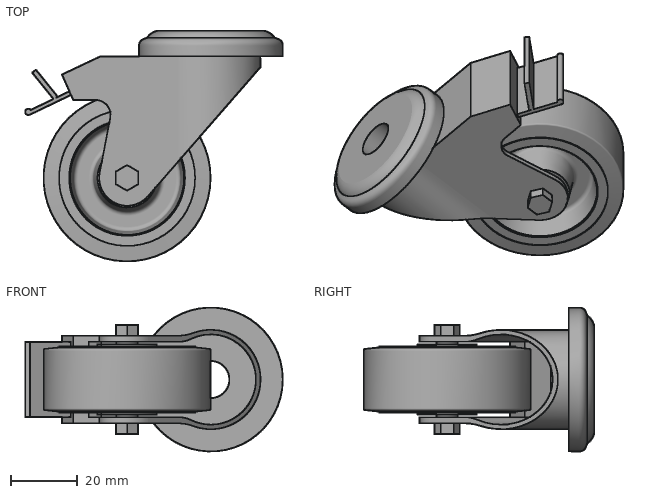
import cadquery as cq
import math


swivel_x = 25.0
head_radius = 21.52
head_base_y = 36.3
head_height = 7.74
head_rim_height = 3.3
head_shoulder_radius = 20.3
head_shoulder_height = 5.15
head_crown_radius = 19.1
head_crown_height = 5.6
head_top_radius = 15.85
head_crown_bulge = 0.4
bore_diameter = 11.0

fork_outer_z = 13.1
fork_inner_z = 11.25
collar_outer_radius = 14.85
collar_inner_radius = 13.5
flare_start_x = 15.3
fork_top_thickness = 1.85
fork_hub_radius = 8.3
fork_top_left_x = -8.1
fork_nose = (-19.5, 30.9)
fork_heel = (-16.1, 23.25)
fork_neck_x = -4.0
fork_neck_fillet = 4.5
fork_right_edge_y = 33.1
end_wall_width = 4.7
fork_left_limit_x = -23.1

wheel_radius = 24.98
tread_half_width = 8.6
tread_edge_radius = 24.5
tread_edge_bulge = 0.15
tread_side_z = 9.2
rim_radius = 20.3
rim_tread_z = 9.6
rim_side_z = 9.9
recess_radius = 17.0
recess_floor_radius = 15.8
recess_edge_break = 0.3
web_half_thickness = 1.55
hub_half_width = 10.5
hub_end_radius = 8.85
hub_foot_radius = 10.25
floor_fillet = 1.3

axle_diameter = 6.5
bolt_across_flats = 6.6
bolt_end_z = 16.3

lever_root = (-16.3, 25.6)
lever_thickness = 1.2
lever_arm_end = (-29.25, 19.4)
lever_tip = (-29.5, 19.7)
lever_tip_radius = 0.96
flap_root = (-21.3, 23.9)
flap_end = (-27.8, 31.9)
flap_thickness = 1.5


def slab_z(outline, half_width):
    """Extrude an XY outline symmetrically about the Z = 0 plane."""
    return outline.extrude(2 * half_width).translate((0, 0, -half_width))


def tangent_point(point, radius, side):
    """Point where a line from point touches a circle at the origin; side is +1 or -1."""
    angle = math.atan2(point[1], point[0])
    angle += side * math.acos(radius / math.hypot(point[0], point[1]))
    return radius * math.cos(angle), radius * math.sin(angle)


def bar(start, end, thickness):
    """Flat strip as wide as the gap in the fork, centred on a line in XY."""
    dx = end[0] - start[0]
    dy = end[1] - start[1]
    length = math.hypot(dx, dy)
    strip = slab_z(cq.Workplane("XY").rect(length, thickness), fork_inner_z)
    strip = strip.rotate((0, 0, 0), (0, 0, 1), math.degrees(math.atan2(dy, dx)))
    return strip.translate(((start[0] + end[0]) / 2, (start[1] + end[1]) / 2, 0))


def make_head():
    profile = (
        cq.Workplane("XY")
        .lineTo(head_radius, 0)
        .lineTo(head_radius, head_rim_height)
        .tangentArcPoint((head_shoulder_radius, head_shoulder_height), relative=False)
        .lineTo(head_crown_radius, head_crown_height)
        .sagittaArc((head_top_radius, head_height), -head_crown_bulge)
        .lineTo(0, head_height)
        .close()
    )
    return profile.revolve(360, (0, 0, 0), (0, 1, 0)).translate((swivel_x, head_base_y, 0))


def fork_plan(half_width, collar_radius):
    """Upright prism: parallel cheeks flaring tangentially into a round collar."""
    run = swivel_x - flare_start_x
    flare_radius = (run**2 + half_width**2 - collar_radius**2) / (2 * (collar_radius - half_width))
    flare_centre_z = half_width + flare_radius
    blend = collar_radius / (collar_radius + flare_radius)
    join_x = swivel_x - run * blend
    join_z = flare_centre_z * blend
    half_turn = math.atan2(run, flare_centre_z) / 2
    mid_x = flare_start_x + flare_radius * math.sin(half_turn)
    mid_z = flare_centre_z - flare_radius * math.cos(half_turn)
    return (
        cq.Workplane("XZ", origin=(0, -wheel_radius, 0))
        .moveTo(fork_left_limit_x, -half_width)
        .lineTo(flare_start_x, -half_width)
        .threePointArc((mid_x, -mid_z), (join_x, -join_z))
        .threePointArc((swivel_x + collar_radius, 0), (join_x, join_z))
        .threePointArc((mid_x, mid_z), (flare_start_x, half_width))
        .lineTo(fork_left_limit_x, half_width)
        .close()
        .extrude(-wheel_radius - head_base_y)
    )


def fork_side():
    """Side outline of the fork, as deep as its widest part."""
    neck = (fork_neck_x, fork_heel[1])
    right = (swivel_x + collar_outer_radius, fork_right_edge_y)
    outline = (
        cq.Workplane("XY")
        .moveTo(fork_top_left_x, head_base_y)
        .lineTo(*fork_nose)
        .lineTo(*fork_heel)
        .lineTo(*neck)
        .lineTo(*tangent_point(neck, fork_hub_radius, 1))
        .threePointArc((0, -fork_hub_radius), tangent_point(right, fork_hub_radius, -1))
        .lineTo(*right)
        .lineTo(right[0], head_base_y)
        .close()
    )
    side = slab_z(outline, collar_outer_radius)
    neck_edge = cq.selectors.NearestToPointSelector((neck[0], neck[1], 0))
    return side.edges("|Z").edges(neck_edge).fillet(fork_neck_fillet)


def fork_cavity():
    """Space between the cheeks, below the top sheet and behind the end wall."""
    ceiling_y = head_base_y - fork_top_thickness
    wall_foot_x = fork_heel[0] + end_wall_width
    nose_slope = (head_base_y - fork_nose[1]) / (fork_top_left_x - fork_nose[0])
    wall_slope = (fork_nose[0] - fork_heel[0]) / (fork_nose[1] - fork_heel[1])
    nose_line_y = head_base_y + nose_slope * (wall_foot_x - fork_top_left_x)
    roof_y = nose_line_y - fork_top_thickness * math.hypot(1, nose_slope)
    wall_height = (roof_y - fork_heel[1]) / (1 - nose_slope * wall_slope)
    wall_top = (wall_foot_x + wall_slope * wall_height, fork_heel[1] + wall_height)
    roof_corner = (wall_foot_x + (ceiling_y - roof_y) / nose_slope, ceiling_y)
    far_x = swivel_x + collar_outer_radius
    outline = cq.Workplane("XY").polyline(
        [
            roof_corner,
            wall_top,
            (wall_foot_x, fork_heel[1]),
            (wall_foot_x, -wheel_radius),
            (far_x, -wheel_radius),
            (far_x, ceiling_y),
        ]
    ).close()
    return slab_z(outline, collar_outer_radius).intersect(fork_plan(fork_inner_z, collar_inner_radius))


def make_fork():
    body = fork_side().intersect(fork_plan(fork_outer_z, collar_outer_radius))
    return body.cut(fork_cavity())


def wheel_recess():
    """Annular recess in the upper side of the wheel, revolved around the tapered hub."""
    recess = (
        cq.Workplane("XZ")
        .moveTo(hub_end_radius, hub_half_width)
        .lineTo(hub_foot_radius, web_half_thickness)
        .lineTo(recess_floor_radius, web_half_thickness)
        .lineTo(recess_radius, rim_side_z - recess_edge_break)
        .lineTo(recess_radius + recess_edge_break, rim_side_z)
        .lineTo(recess_radius + recess_edge_break, hub_half_width)
        .close()
        .revolve(360, (0, 0, 0), (0, 1, 0))
    )
    return recess.faces("<Z").edges().fillet(floor_fillet)


def wheel_side():
    """Tread edge and raised rim above the cylindrical tread, with an untapered hub."""
    return (
        cq.Workplane("XZ", origin=(0, 0, tread_half_width))
        .lineTo(wheel_radius, 0)
        .sagittaArc((tread_edge_radius, tread_side_z - tread_half_width), -tread_edge_bulge)
        .lineTo(rim_radius, rim_tread_z - tread_half_width)
        .lineTo(rim_radius, rim_side_z - tread_half_width)
        .lineTo(hub_foot_radius, rim_side_z - tread_half_width)
        .lineTo(hub_foot_radius, hub_half_width - tread_half_width)
        .lineTo(0, hub_half_width - tread_half_width)
        .close()
        .revolve(360, (0, 0, 0), (0, 1, 0))
    )


def make_wheel():
    wheel = slab_z(cq.Workplane("XY").circle(wheel_radius), tread_half_width)
    side = wheel_side()
    recess = wheel_recess()
    wheel = wheel.union(side).union(side.mirror("XY"))
    return wheel.cut(recess).cut(recess.mirror("XY"))


def make_axle():
    shaft = slab_z(cq.Workplane("XY").circle(axle_diameter / 2), fork_outer_z)
    across_corners = bolt_across_flats / math.cos(math.pi / 6)
    hexagon = cq.Workplane("XY").polygon(6, across_corners).extrude(bolt_end_z - fork_inner_z)
    hexagon = hexagon.rotate((0, 0, 0), (0, 0, 1), 30).translate((0, 0, fork_inner_z))
    return shaft.union(hexagon).union(hexagon.mirror("XY"))


def make_brake_lever():
    tip = slab_z(cq.Workplane("XY").center(*lever_tip).circle(lever_tip_radius), fork_inner_z)
    arm = bar(lever_arm_end, lever_root, lever_thickness)
    flap = bar(flap_root, flap_end, flap_thickness)
    return arm.union(tip).union(flap)


def make_bore():
    """Swivel bore through the head and the top sheet of the fork."""
    depth = head_height + fork_top_thickness
    bore = cq.Workplane("XZ").circle(bore_diameter / 2).extrude(-depth)
    return bore.translate((swivel_x, head_base_y - fork_top_thickness, 0))


caster = make_fork().union(make_head()).cut(make_bore())
result = caster.union(make_wheel()).union(make_axle()).union(make_brake_lever())